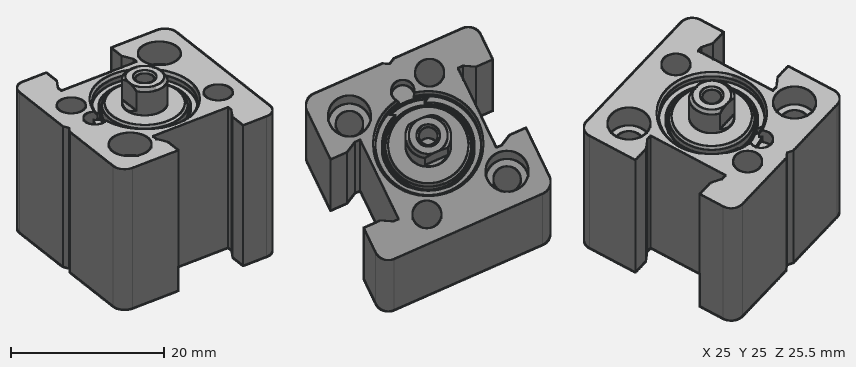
import cadquery as cq
import math

WIDTH = 25.0
HEIGHT = 22.0
CORNER_RADIUS = 1.8

SLOT_OFFSET = 1.78
SLOT_MOUTH_WIDTH = 10.3
SLOT_INNER_WIDTH = 11.98
SLOT_MOUTH_DEPTH = 2.4
SLOT_SLOPE_END_DEPTH = 3.88
SLOT_DEPTH = 4.65

V_GROOVE_WIDTH = 1.6
V_GROOVE_DEPTH = 0.45

BOLT_HOLE_DIAMETER = 3.6
BOLT_HEAD_DIAMETER = 5.6
BOLT_HEAD_DEPTH = 3.5
BOLT_OFFSET = 7.75
PLAIN_HOLE_DIAMETER = 3.8
PLAIN_HOLE_X = 4.23
PLAIN_HOLE_Y = 8.75

BORE_DIAMETER = 13.7
BORE_RADIUS = BORE_DIAMETER / 2
SEAT_CHAMFER = 0.23
LIP_DIAMETER = 13.8
LIP_RADIUS = LIP_DIAMETER / 2
RIM_CHAMFER = 0.3
RIM_CHAMFER_DEPTH = 0.5
GROOVE_DIAMETER = 14.59
GROOVE_TOP = 20.73
RING_THICKNESS = 1.0
GROOVE_FLOOR = GROOVE_TOP - RING_THICKNESS
SHOULDER_DROP = 0.2
SHOULDER_Z = GROOVE_FLOOR - SHOULDER_DROP
BORE_FLOOR = 15.3

RELIEF_DIAMETER = 3.05
RELIEF_Y = -7.93

RING_INNER_DIAMETER = 12.15
RING_GAP_APEX_Y = -4.51
RING_GAP_HALF_ANGLE = 60.0

COLLAR_TOP = 21.4
BOSS_DIAMETER = 11.2
BOSS_CHAMFER = 0.35
BOSS_FOOT_FLARE = 0.23

ROD_DIAMETER = 6.0
ROD_TOP = 25.5
ROD_CHAMFER = 0.45
ROD_ACROSS_FLATS = 5.0
FLAT_BOTTOM = HEIGHT
ROD_HOLE_DIAMETER = 2.45
ROD_HOLE_MOUTH_DIAMETER = 3.05
ROD_HOLE_DEPTH = 5.0


def cylinder(diameter, bottom, top, x=0, y=0):
    """Upright cylinder between two heights."""
    return cq.Workplane("XY", origin=(x, y, bottom)).circle(diameter / 2).extrude(top - bottom)


def turned(profile):
    """Solid of revolution about Z from (radius, height) points."""
    return cq.Workplane("XZ").polyline(profile).close().revolve(360, (0, 0), (0, 1))


def side_slot():
    """Undercut slot cutter for the left side."""
    face = -WIDTH / 2
    mouth = SLOT_MOUTH_WIDTH / 2
    inner = SLOT_INNER_WIDTH / 2
    upper_edge = [
        (face, mouth),
        (face + SLOT_MOUTH_DEPTH, mouth),
        (face + SLOT_SLOPE_END_DEPTH, inner),
        (face + SLOT_DEPTH, inner),
    ]
    lower_edge = [(x, -y) for x, y in reversed(upper_edge)]
    outline = [(x, y - SLOT_OFFSET) for x, y in upper_edge + lower_edge]
    return cq.Workplane("XY").polyline(outline).close().extrude(HEIGHT)


def v_groove():
    """V groove cutter along the middle of the front face."""
    front = -WIDTH / 2
    half = V_GROOVE_WIDTH / 2
    outline = [(-half, front), (half, front), (0, front + V_GROOVE_DEPTH)]
    return cq.Workplane("XY").polyline(outline).close().extrude(HEIGHT)


def stepped_bore():
    """Bore cutter: chamfered rim, lip, ring groove and collar seat."""
    return turned([
        (0, BORE_FLOOR),
        (BORE_RADIUS, BORE_FLOOR),
        (BORE_RADIUS, SHOULDER_Z),
        (BORE_RADIUS + SEAT_CHAMFER, GROOVE_FLOOR),
        (GROOVE_DIAMETER / 2, GROOVE_FLOOR),
        (GROOVE_DIAMETER / 2, GROOVE_TOP),
        (LIP_RADIUS, GROOVE_TOP),
        (LIP_RADIUS, HEIGHT - RIM_CHAMFER_DEPTH),
        (LIP_RADIUS + RIM_CHAMFER, HEIGHT),
        (0, HEIGHT),
    ])


def make_housing():
    block = cq.Workplane("XY").rect(WIDTH, WIDTH).extrude(HEIGHT).edges("|Z").fillet(CORNER_RADIUS)
    block = block.cut(v_groove()).cut(stepped_bore())
    block = block.cut(cylinder(RELIEF_DIAMETER, GROOVE_FLOOR, HEIGHT, y=RELIEF_Y))
    for turn in (0, 180):
        block = block.cut(side_slot().rotate((0, 0, 0), (0, 0, 1), turn))
    for side in (-1, 1):
        bolt_x = side * BOLT_OFFSET
        bolt_y = -side * BOLT_OFFSET
        block = block.cut(cylinder(BOLT_HOLE_DIAMETER, 0, HEIGHT, bolt_x, bolt_y))
        block = block.cut(cylinder(BOLT_HEAD_DIAMETER, HEIGHT - BOLT_HEAD_DEPTH, HEIGHT, bolt_x, bolt_y))
        plain_x = side * PLAIN_HOLE_X
        plain_y = side * PLAIN_HOLE_Y
        block = block.cut(cylinder(PLAIN_HOLE_DIAMETER, 0, HEIGHT, plain_x, plain_y))
    return block


def make_ring():
    """C-shaped retaining ring filling the groove, open toward -Y."""
    ring = cylinder(GROOVE_DIAMETER, GROOVE_FLOOR, GROOVE_TOP)
    ring = ring.cut(cylinder(RING_INNER_DIAMETER, GROOVE_FLOOR, GROOVE_TOP))
    gap_depth = GROOVE_DIAMETER / 2
    gap_half_width = gap_depth * math.tan(math.radians(RING_GAP_HALF_ANGLE))
    gap_end_y = RING_GAP_APEX_Y - gap_depth
    gap = (
        cq.Workplane("XY", origin=(0, 0, GROOVE_FLOOR))
        .polyline([(0, RING_GAP_APEX_Y), (gap_half_width, gap_end_y), (-gap_half_width, gap_end_y)])
        .close()
        .extrude(RING_THICKNESS)
    )
    return ring.cut(gap)


def make_collar():
    """Rod guide: a shoulder seated in the bore and a boss inside the ring."""
    boss_radius = BOSS_DIAMETER / 2
    return turned([
        (ROD_DIAMETER / 2, BORE_FLOOR),
        (BORE_RADIUS, BORE_FLOOR),
        (BORE_RADIUS, SHOULDER_Z),
        (boss_radius + BOSS_FOOT_FLARE, SHOULDER_Z),
        (boss_radius, SHOULDER_Z + BOSS_FOOT_FLARE),
        (boss_radius, COLLAR_TOP - BOSS_CHAMFER),
        (boss_radius - BOSS_CHAMFER, COLLAR_TOP),
        (ROD_DIAMETER / 2, COLLAR_TOP),
    ])


def rod_flat():
    """Cutter for the wrench flat on the -Y side, with its sloping end."""
    flat_y = -ROD_ACROSS_FLATS / 2
    outer_y = -ROD_DIAMETER / 2
    slope_bottom = FLAT_BOTTOM - (flat_y - outer_y)
    outline = [(flat_y, FLAT_BOTTOM), (flat_y, ROD_TOP), (outer_y, ROD_TOP), (outer_y, slope_bottom)]
    return cq.Workplane("YZ").polyline(outline).close().extrude(ROD_DIAMETER / 2, both=True)


def make_rod():
    hole_radius = ROD_HOLE_DIAMETER / 2
    mouth_radius = ROD_HOLE_MOUTH_DIAMETER / 2
    rod_radius = ROD_DIAMETER / 2
    hole_floor = ROD_TOP - ROD_HOLE_DEPTH
    rod = turned([
        (0, BORE_FLOOR),
        (rod_radius, BORE_FLOOR),
        (rod_radius, ROD_TOP - ROD_CHAMFER),
        (rod_radius - ROD_CHAMFER, ROD_TOP),
        (mouth_radius, ROD_TOP),
        (hole_radius, ROD_TOP - (mouth_radius - hole_radius)),
        (hole_radius, hole_floor),
        (0, hole_floor),
    ])
    for turn in (0, 180):
        rod = rod.cut(rod_flat().rotate((0, 0, 0), (0, 0, 1), turn))
    return rod


housing = make_housing()
ring = make_ring()
collar = make_collar()
rod = make_rod()

result = cq.Compound.makeCompound([housing.val(), ring.val(), collar.val(), rod.val()])